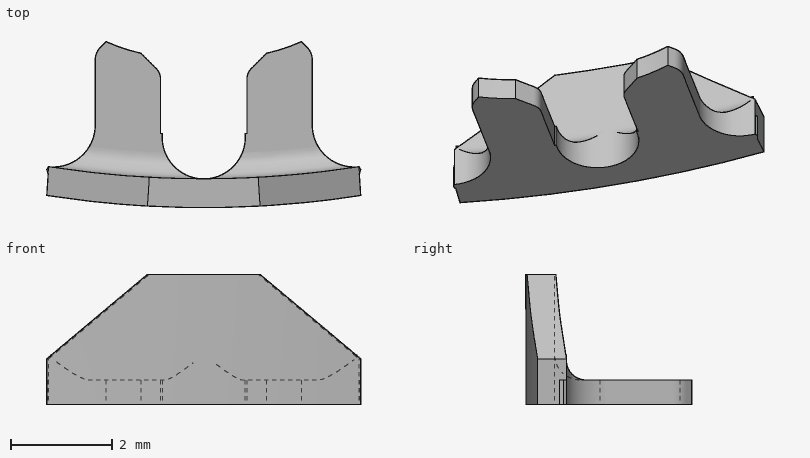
import cadquery as cq
import math

wall_width = 6.22
wall_height = 2.58
wall_thickness = 0.57
outer_radius = 20.215
shoulder_height = 0.91
top_width = 2.2
end_taper = 0.04

foot_thickness = 0.49
wall_fillet = 0.5
prong_inner_x = 0.85
prong_outer_x = 2.15
slot_radius = 0.82
slot_straight = 0.08
flare_radius = 0.82
flare_end_y = 0.81
flare_start_y = 1.58
foot_front_y = 0.5

tip_y = 3.29
tip_x = 1.935
outer_round = 0.375
hollow_sag = 0.02
bevel_x = 1.245
bevel_y = 3.06
inner_round = 0.3

nub_back_x = 3.08
nub_tip_y = 0.75
nub_front_y = 0.66

inner_radius = outer_radius - wall_thickness
axis_y = outer_radius
half_width = wall_width / 2


def wall_face(inset):
    """Corner points of the trapezoid wall, each side moved inward by inset."""
    end_x = half_width - inset
    top_x = top_width / 2 - inset
    return [
        (-end_x, 0), (end_x, 0), (end_x, shoulder_height),
        (top_x, wall_height), (-top_x, wall_height), (-end_x, shoulder_height),
    ]


def make_wall():
    """Annular plate trimmed to the tapered trapezoid."""
    ring = (
        cq.Workplane("XY").center(0, axis_y)
        .circle(outer_radius).circle(inner_radius).extrude(wall_height)
    )
    front_corner_y = axis_y - math.sqrt(outer_radius**2 - half_width**2)
    block_depth = 2 * wall_thickness
    taper_slope = end_taper / wall_thickness
    front_inset = -front_corner_y * taper_slope
    back_inset = (block_depth - front_corner_y) * taper_slope
    block = (
        cq.Workplane("XZ").polyline(wall_face(front_inset)).close()
        .workplane(offset=-block_depth).polyline(wall_face(back_inset)).close()
        .loft(ruled=True, combine=True)
    )
    return ring.intersect(block)


def make_right_foot_outline():
    """Plan shape of the right half of the foot, full height of the fillet."""
    slot_centre_y = wall_thickness + slot_radius
    slot_end_y = slot_centre_y + slot_straight
    diagonal = math.sqrt(0.5)
    inner_round_x = prong_inner_x + inner_round * (1 - diagonal)
    inner_round_end_y = bevel_y - (bevel_x - inner_round_x)
    inner_round_start_y = inner_round_end_y - inner_round * diagonal

    chord_x = tip_x - bevel_x
    chord_y = tip_y - bevel_y
    chord = math.hypot(chord_x, chord_y)
    hollow_middle = (
        (tip_x + bevel_x) / 2 + hollow_sag * chord_y / chord,
        (tip_y + bevel_y) / 2 - hollow_sag * chord_x / chord,
    )
    flare_centre_x = prong_outer_x + flare_radius
    flare_centre_y = flare_end_y + flare_radius
    flare_middle = (
        flare_centre_x - flare_radius * diagonal,
        flare_centre_y - flare_radius * diagonal,
    )
    outer_round_end_x = prong_outer_x - outer_round * (1 - diagonal)
    outer_round_end_y = tip_y - (outer_round_end_x - tip_x)
    outer_round_start_y = outer_round_end_y - outer_round * diagonal
    half_sweep = math.radians(45 / 2)
    outer_round_middle = (
        prong_outer_x - outer_round * (1 - math.cos(half_sweep)),
        outer_round_start_y + outer_round * math.sin(half_sweep),
    )
    return (
        cq.Workplane("XY").moveTo(0, foot_front_y)
        .lineTo(0, wall_thickness)
        .threePointArc(
            (slot_radius * diagonal, slot_centre_y - slot_radius * diagonal),
            (slot_radius, slot_centre_y),
        )
        .lineTo(slot_radius, slot_end_y)
        .lineTo(prong_inner_x, slot_end_y)
        .lineTo(prong_inner_x, inner_round_start_y)
        .tangentArcPoint((inner_round_x, inner_round_end_y), relative=False)
        .lineTo(bevel_x, bevel_y)
        .threePointArc(hollow_middle, (tip_x, tip_y))
        .lineTo(outer_round_end_x, outer_round_end_y)
        .threePointArc(outer_round_middle, (prong_outer_x, outer_round_start_y))
        .lineTo(prong_outer_x, flare_start_y)
        .threePointArc(flare_middle, (flare_centre_x, flare_end_y))
        .lineTo(nub_back_x, flare_end_y)
        .lineTo(half_width, nub_tip_y)
        .lineTo(nub_back_x, nub_front_y)
        .close()
        .extrude(foot_thickness + wall_fillet)
    )


def make_foot_envelope():
    """Flat disc rising in a concave fillet to meet the back of the wall."""
    fillet_top = foot_thickness + wall_fillet
    fillet_start = inner_radius - wall_fillet
    diagonal = wall_fillet * math.sqrt(0.5)
    return (
        cq.Workplane("XZ")
        .lineTo(0, foot_thickness)
        .lineTo(fillet_start, foot_thickness)
        .threePointArc(
            (fillet_start + diagonal, fillet_top - diagonal),
            (inner_radius, fillet_top),
        )
        .lineTo(inner_radius, foot_thickness)
        .lineTo(outer_radius, foot_thickness)
        .lineTo(outer_radius, 0)
        .close()
        .revolve(360, (0, 0, 0), (0, 1, 0))
        .translate((0, axis_y, 0))
    )


right_foot = make_right_foot_outline().intersect(make_foot_envelope())
left_foot = right_foot.mirror("YZ")
result = make_wall().union(right_foot).union(left_foot)